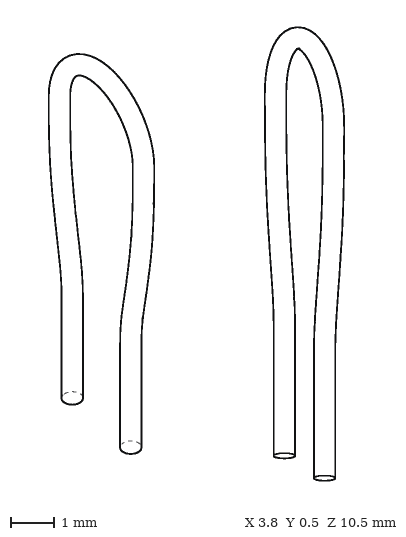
import cadquery as cq

total_height = 10.45
total_width = 3.8
wire_diameter = 0.5
leg_length = 3.0
leg_spacing = 2.3

upper_flare_x = 1.58
upper_flare_height = 6.34
lower_flare_x = 1.31
lower_flare_height = 4.45

bend_radius = (total_width - wire_diameter) / 2
bend_height = total_height - total_width / 2
leg_x = leg_spacing / 2
UP = (0, 1)
DOWN = (0, -1)

centreline = (
    cq.Workplane("XZ")
    .moveTo(-leg_x, 0)
    .lineTo(-leg_x, leg_length)
    .spline(
        [
            (-lower_flare_x, lower_flare_height),
            (-upper_flare_x, upper_flare_height),
            (-bend_radius, bend_height),
        ],
        tangents=[UP, UP],
        includeCurrent=True,
    )
    .threePointArc((0, bend_height + bend_radius), (bend_radius, bend_height))
    .spline(
        [
            (upper_flare_x, upper_flare_height),
            (lower_flare_x, lower_flare_height),
            (leg_x, leg_length),
        ],
        tangents=[DOWN, DOWN],
        includeCurrent=True,
    )
    .lineTo(leg_x, 0)
)

result = (
    cq.Workplane("XY")
    .center(-leg_x, 0)
    .circle(wire_diameter / 2)
    .sweep(centreline)
)